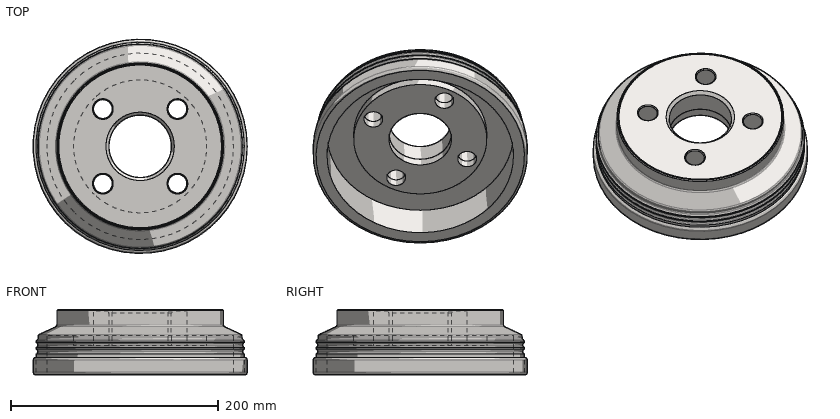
import cadquery as cq
import math

TOTAL_HEIGHT = 63.01
CONE_TOP_HEIGHT = 47.1
CONE_FOOT_HEIGHT = 38.7
RIM_HEIGHT = 17.0
LOWER_GROOVE_BOTTOM = 20.1

SHOULDER_DIAMETER = 161.13
LAND_DIAMETER = 197.13
GROOVE_DIAMETER = 198.25
RIB_DIAMETER = 201.13

FACE_RECESS_DIAMETER = 157.13
FACE_RECESS_DEPTH = 0.4
FACE_HEIGHT = TOTAL_HEIGHT - FACE_RECESS_DEPTH
SHOULDER_CHAMFER = 1.0

CONE_FILLET = 2.0

GROOVE_COUNT = 2
GROOVE_WIDTH = 5.0
RIB_CREST_WIDTH = 1.3
TOP_CREST_WIDTH = 1.6
GROOVE_PITCH = GROOVE_WIDTH + RIB_CREST_WIDTH
GROOVE_ROUND = 2.0
FLANK_ANGLE = math.radians(45)

CAVITY_DIAMETER = 180.0
CAVITY_DEPTH = 38.0

RIM_DIAMETER = 206.89
RIM_FILLET = 2.7

BORE_DIAMETER = 60.02
BORE_CHAMFER = 3.0
RING_DIAMETER = 128.5
RING_BORE_DIAMETER = 60.3
RING_THICKNESS = 9.5

BOLT_SPACING = 72.0
BOLT_DIAMETER = 18.0
BOLT_CHAMFER = 1.0


def cylinder(diameter, bottom, top):
    """Upright cylinder on the drum axis."""
    return cq.Workplane("XY", origin=(0, 0, bottom)).circle(diameter / 2).extrude(top - bottom)


def cut_bolt_holes(body):
    """Drill the four bolt holes through a body."""
    return (
        body.copyWorkplane(cq.Workplane("XY"))
        .rect(BOLT_SPACING, BOLT_SPACING, forConstruction=True)
        .vertices()
        .circle(BOLT_DIAMETER / 2)
        .cutThruAll()
    )


def rounded_flank(floor_radius, crest_radius):
    """Radial and axial steps of a flank: (arc middle, arc end, flank end), starting on the floor."""
    half_angle = FLANK_ANGLE / 2
    middle = (GROOVE_ROUND * (1 - math.cos(half_angle)), GROOVE_ROUND * math.sin(half_angle))
    arc_end = (GROOVE_ROUND * (1 - math.cos(FLANK_ANGLE)), GROOVE_ROUND * math.sin(FLANK_ANGLE))
    depth = crest_radius - floor_radius
    flank_end = (depth, arc_end[1] + (depth - arc_end[0]) / math.tan(FLANK_ANGLE))
    return middle, arc_end, flank_end


def add_flank_down(outline, floor_radius, crest_radius, crest_height):
    """Go up from a crest edge, down the flank and around onto the floor."""
    middle, arc_end, flank_end = rounded_flank(floor_radius, crest_radius)
    floor_height = crest_height + flank_end[1]
    return outline.lineTo(floor_radius + arc_end[0], floor_height - arc_end[1]).threePointArc(
        (floor_radius + middle[0], floor_height - middle[1]), (floor_radius, floor_height)
    )


def add_flank_up(outline, floor_radius, crest_radius, crest_height):
    """Go up along the floor, around and out along the flank to a crest edge."""
    middle, arc_end, flank_end = rounded_flank(floor_radius, crest_radius)
    floor_height = crest_height - flank_end[1]
    return (
        outline.lineTo(floor_radius, floor_height)
        .threePointArc(
            (floor_radius + middle[0], floor_height + middle[1]),
            (floor_radius + arc_end[0], floor_height + arc_end[1]),
        )
        .lineTo(crest_radius, crest_height)
    )


def drum_blank():
    """Solid of revolution with the drum's outside shape."""
    rib = RIB_DIAMETER / 2
    groove = GROOVE_DIAMETER / 2
    land = LAND_DIAMETER / 2
    shoulder = SHOULDER_DIAMETER / 2
    outline = cq.Workplane("XZ").lineTo(rib, 0)
    for index in range(GROOVE_COUNT):
        bottom = LOWER_GROOVE_BOTTOM + index * GROOVE_PITCH
        outline = outline.lineTo(rib, bottom)
        outline = add_flank_down(outline, groove, rib, bottom)
        outline = add_flank_up(outline, groove, rib, bottom + GROOVE_WIDTH)
    top_groove_top = LOWER_GROOVE_BOTTOM + (GROOVE_COUNT - 1) * GROOVE_PITCH + GROOVE_WIDTH
    top_crest = top_groove_top + TOP_CREST_WIDTH
    outline = outline.lineTo(rib, top_crest)
    outline = add_flank_down(outline, land, rib, top_crest)
    outline = (
        outline.lineTo(land, CONE_FOOT_HEIGHT)
        .lineTo(shoulder, CONE_TOP_HEIGHT)
        .lineTo(shoulder, TOTAL_HEIGHT - SHOULDER_CHAMFER)
        .lineTo(shoulder - SHOULDER_CHAMFER, TOTAL_HEIGHT)
        .lineTo(0, TOTAL_HEIGHT)
        .close()
    )
    blank = outline.revolve(360, (0, 0), (0, 1))
    cone_ends = cq.selectors.BoxSelector(
        (-RIB_DIAMETER, -RIB_DIAMETER, CONE_FOOT_HEIGHT - CONE_FILLET),
        (RIB_DIAMETER, RIB_DIAMETER, CONE_TOP_HEIGHT + CONE_FILLET),
        boundingbox=True,
    )
    return blank.edges("%CIRCLE").edges(cone_ends).fillet(CONE_FILLET)


def chamfer_smallest_mouths(drum, size):
    """Chamfer the smallest round openings in the recessed top face."""
    top_face = drum.faces(cq.selectors.NearestToPointSelector((0, 0, FACE_HEIGHT)))
    return top_face.edges(cq.selectors.RadiusNthSelector(0)).chamfer(size)


def make_drum():
    drum = drum_blank()
    drum = drum.cut(cylinder(CAVITY_DIAMETER, 0, CAVITY_DEPTH))
    drum = drum.cut(cylinder(FACE_RECESS_DIAMETER, FACE_HEIGHT, TOTAL_HEIGHT))
    drum = drum.cut(cylinder(BORE_DIAMETER, 0, TOTAL_HEIGHT))
    drum = chamfer_smallest_mouths(drum, BORE_CHAMFER)
    drum = cut_bolt_holes(drum)
    return chamfer_smallest_mouths(drum, BOLT_CHAMFER)


def make_rim():
    rim = cylinder(RIM_DIAMETER, 0, RIM_HEIGHT)
    rim = rim.edges("%CIRCLE").fillet(RIM_FILLET)
    return rim.cut(cylinder(RIB_DIAMETER, 0, RIM_HEIGHT))


def make_mounting_ring():
    ring = cylinder(RING_DIAMETER, CAVITY_DEPTH - RING_THICKNESS, CAVITY_DEPTH)
    ring = ring.cut(cylinder(RING_BORE_DIAMETER, 0, TOTAL_HEIGHT))
    return cut_bolt_holes(ring)


drum = make_drum()
rim = make_rim()
mounting_ring = make_mounting_ring()
result = cq.Compound.makeCompound([drum.val(), rim.val(), mounting_ring.val()])